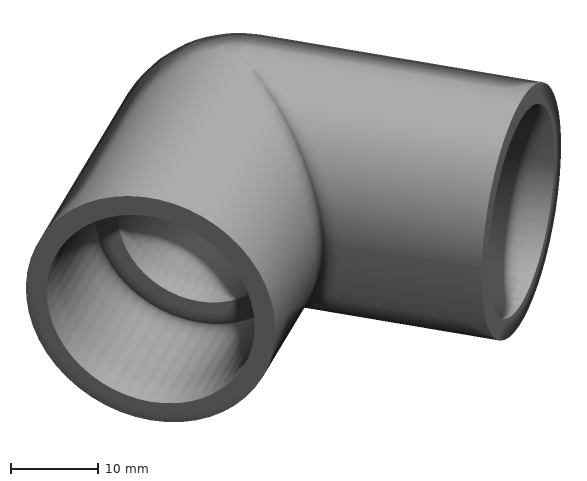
import cadquery as cq

outer_diameter = 30.0
bore_diameter = 19.3
socket_diameter = 25.0
overall_x = 49.0
overall_y = 48.0
bend_radius = 12.05

outer_radius = outer_diameter / 2
socket_floor = outer_radius
x_arm_length = overall_x - outer_radius
y_arm_length = overall_y - outer_radius

X_DIRECTION = cq.Vector(1, 0, 0)
Y_DIRECTION = cq.Vector(0, -1, 0)


def rod(diameter, start, end, direction):
    """Cylinder on an arm axis between two distances from the axis crossing."""
    return cq.Workplane(
        cq.Solid.makeCylinder(diameter / 2, end - start, direction * start, direction)
    )


x_rod = rod(outer_diameter, 0, x_arm_length, X_DIRECTION)
y_rod = rod(outer_diameter, 0, y_arm_length, Y_DIRECTION)
corner_ball = cq.Workplane("XY").sphere(outer_radius)
body = x_rod.union(y_rod).union(corner_ball)

bend = (
    cq.Workplane("XZ", origin=(0, -bend_radius, 0))
    .circle(bore_diameter / 2)
    .revolve(90, (bend_radius, 0, 0), (bend_radius, -1, 0))
)
x_bore = rod(bore_diameter, bend_radius, socket_floor, X_DIRECTION)
y_bore = rod(bore_diameter, bend_radius, socket_floor, Y_DIRECTION)

x_socket = rod(socket_diameter, socket_floor, x_arm_length, X_DIRECTION)
y_socket = rod(socket_diameter, socket_floor, y_arm_length, Y_DIRECTION)

result = body.cut(bend).cut(x_bore).cut(y_bore).cut(x_socket).cut(y_socket)